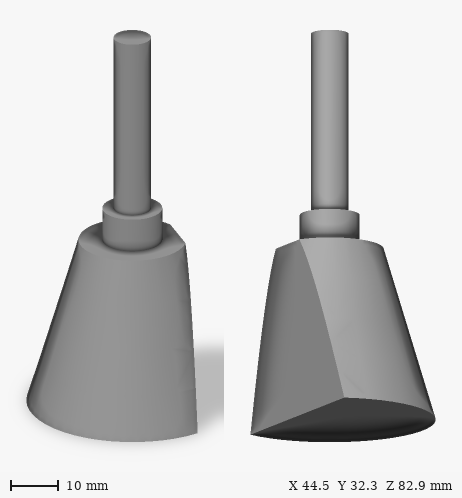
import cadquery as cq

total_height = 82.9
cone_height = 36.7
collar_height = 7.2
collar_top = cone_height + collar_height

base_diameter = 44.5
cone_top_diameter = 22.6
collar_diameter = 12.6
rod_diameter = 7.9

flat_offset_base = 7.7
flat_offset_top = 10.0


def tapered_body():
    """Truncated cone, wide end down."""
    return (
        cq.Workplane("XY")
        .circle(base_diameter / 2)
        .workplane(offset=cone_height)
        .circle(cone_top_diameter / 2)
        .loft(ruled=True)
    )


def flat_cutter():
    """Wedge that removes everything behind the sloping flat."""
    back = base_diameter
    return (
        cq.Workplane("YZ")
        .polyline([
            (flat_offset_base, 0),
            (back, 0),
            (back, cone_height),
            (flat_offset_top, cone_height),
        ])
        .close()
        .extrude(base_diameter, both=True)
    )


def cylinder(diameter, bottom, top):
    """Upright cylinder on the Z axis between two levels."""
    return cq.Workplane("XY").workplane(offset=bottom).circle(diameter / 2).extrude(top - bottom)


collar = cylinder(collar_diameter, cone_height, collar_top)
rod = cylinder(rod_diameter, collar_top, total_height)
result = tapered_body().cut(flat_cutter()).union(collar).union(rod)